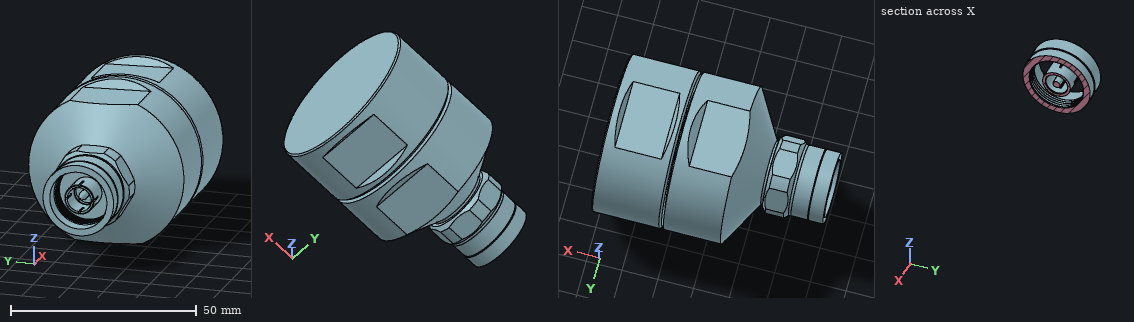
import cadquery as cq
import math

total_length = 61.6

sleeve_radius = 10.0
sleeve_end = 9.65
joint_position = 4.05
groove_width = 0.25
groove_depth = 0.2
waist_radius = 9.9
waist_end = 8.9

hex_sides = 6
hex_flats = 20.8
hex_corner_radius = 11.1
hex_end = 16.95
hex_front_chamfer = 1.1
hex_back_face_radius = 9.85
hex_back_chamfer = 1.2

neck_radius = 8.85
cone_start = 17.7
cone_end = 25.4
body_radius = 22.0
front_body_end = 41.4

seat_front_radius = 18.35
seat_back_radius = 17.85
rear_body_start = 42.05
rear_front_chamfer = 0.6
rear_back_chamfer = 0.45

flat_distance = 19.75
flat_tilt = 2.0
front_flat_end = 37.25
rear_flat_start = 45.1
rear_flat_end = 58.05
front_ramp_angle = 45.0
rear_ramp_angle = 30.0

bore_radius = 8.05
thread_start = 3.75
thread_pitch = 0.75
thread_count = 6
thread_crest_radius = 7.75
socket_depth = thread_start + thread_count * thread_pitch

ring_outer_radius = 4.1
ring_inner_radius = 3.4
ring_base_radius = 3.2
ring_base_length = 1.25
ring_front = 0.85
ring_chamfer = 0.2
slot_width = 0.45
slot_depth = 3.7
slot_count = 4
pin_radius = 1.1
pin_front = 1.3
pin_tip_length = 3.1
pin_tip_radius = 0.25


def revolve(profile):
    """Turn a closed (x, radius) profile around the X axis."""
    return cq.Workplane("XY").polyline(profile).close().revolve(360, (0, 0, 0), (1, 0, 0))


def make_sleeve():
    groove_floor = sleeve_radius - groove_depth
    groove_end = joint_position + groove_width
    return revolve([
        (0, 0),
        (0, sleeve_radius),
        (joint_position, sleeve_radius),
        (joint_position, groove_floor),
        (groove_end, groove_floor),
        (groove_end, waist_radius),
        (waist_end, waist_radius),
        (waist_end, sleeve_radius),
        (sleeve_end, sleeve_radius),
        (sleeve_end, 0),
    ])


def make_hex():
    hex_corners = hex_flats / math.cos(math.pi / hex_sides)
    prism = (
        cq.Workplane("YZ", origin=(sleeve_end, 0, 0))
        .polygon(hex_sides, hex_corners)
        .extrude(hex_end - sleeve_end)
    )
    turned_envelope = revolve([
        (sleeve_end, 0),
        (sleeve_end, sleeve_radius),
        (sleeve_end + hex_front_chamfer, hex_corner_radius),
        (hex_end - hex_back_chamfer, hex_corner_radius),
        (hex_end, hex_back_face_radius),
        (hex_end, 0),
    ])
    return prism.intersect(turned_envelope)


def make_bodies():
    return revolve([
        (hex_end, 0),
        (hex_end, neck_radius),
        (cone_start, neck_radius),
        (cone_end, body_radius),
        (front_body_end, body_radius),
        (front_body_end, seat_front_radius),
        (rear_body_start, seat_back_radius),
        (rear_body_start, body_radius - rear_front_chamfer),
        (rear_body_start + rear_front_chamfer, body_radius),
        (total_length - rear_back_chamfer, body_radius),
        (total_length, body_radius - rear_back_chamfer),
        (total_length, 0),
    ])


def make_flat_cutter(start, end, start_angle, end_angle):
    """Trapezoidal prism above a flat; its ends lean outwards by angles from the radial direction."""
    height = 2 * (body_radius - flat_distance)
    top = flat_distance + height
    start_run = height * math.tan(math.radians(start_angle))
    end_run = height * math.tan(math.radians(end_angle))
    return (
        cq.Workplane("XZ")
        .polyline([
            (start, flat_distance),
            (end, flat_distance),
            (end + end_run, top),
            (start - start_run, top),
        ])
        .close()
        .extrude(body_radius, both=True)
    )


def cut_wrench_flats(part):
    cutters = [
        make_flat_cutter(cone_start, front_flat_end, 0, front_ramp_angle),
        make_flat_cutter(rear_flat_start, rear_flat_end, rear_ramp_angle, rear_ramp_angle),
    ]
    for cutter in cutters:
        for side in (0, 180):
            part = part.cut(cutter.rotate((0, 0, 0), (1, 0, 0), side - flat_tilt))
    return part


def make_socket():
    profile = [(0, 0), (0, bore_radius)]
    for turn in range(thread_count):
        turn_start = thread_start + turn * thread_pitch
        profile.append((turn_start, bore_radius))
        profile.append((turn_start + thread_pitch / 2, thread_crest_radius))
    profile.append((socket_depth, bore_radius))
    profile.append((socket_depth, 0))
    return revolve(profile)


def make_contact_ring():
    base_start = socket_depth - ring_base_length
    ring = revolve([
        (socket_depth, ring_base_radius),
        (base_start, ring_base_radius),
        (base_start, ring_inner_radius),
        (ring_front, ring_inner_radius),
        (ring_front, ring_outer_radius - ring_chamfer),
        (ring_front + ring_chamfer, ring_outer_radius),
        (socket_depth, ring_outer_radius),
    ])
    slot = cq.Workplane("XY").box(
        slot_depth, ring_outer_radius, slot_width, centered=(False, False, True)
    ).translate((ring_front, 0, 0))
    for index in range(slot_count):
        ring = ring.cut(slot.rotate((0, 0, 0), (1, 0, 0), index * 360 / slot_count))
    return ring


def make_pin():
    return revolve([
        (pin_front, 0),
        (pin_front, pin_tip_radius),
        (pin_front + pin_tip_length, pin_radius),
        (socket_depth, pin_radius),
        (socket_depth, 0),
    ])


shell = make_sleeve().union(make_hex()).union(make_bodies())
shell = cut_wrench_flats(shell).cut(make_socket())
result = shell.union(make_contact_ring()).union(make_pin())